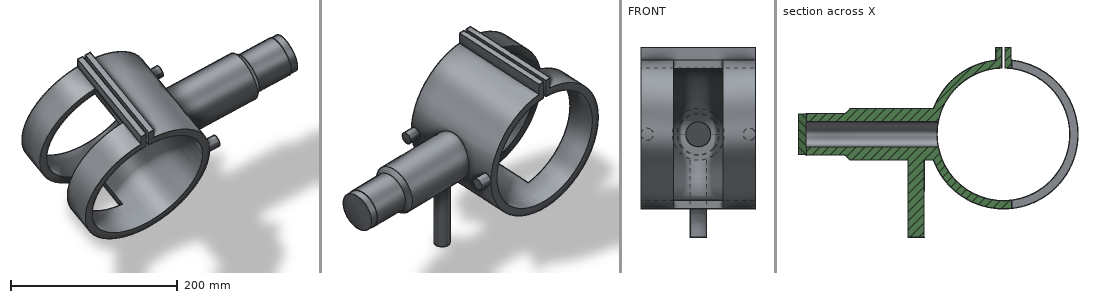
import cadquery as cq

ring_width = 138.0
ring_outer_radius = 90.0
ring_wall = 10.0
ring_inner_radius = ring_outer_radius - ring_wall

lug_top = 104.7
lug_thickness = 7.5
slit_width = 3.7
lug_outer_y = slit_width / 2 + lug_thickness

window_width = 60.0
window_back_y = -10.0

overall_length = 336.7
branch_end = overall_length - ring_outer_radius
branch_diameter = 62.3
spigot_diameter = 50.5
spigot_length = 56.2
taper_length = (branch_diameter - spigot_diameter) / 2
bore_diameter = 30.0

cap_diameter = 49.0
cap_length = 9.5
spigot_end = branch_end - cap_length
taper_end = branch_end - spigot_length
taper_start = taper_end - taper_length

rod_diameter = 20.0
rod_y = 105.0
rod_bottom = -124.0

terminal_diameter = 14.8
terminal_spacing = 123.2
terminal_end = ring_outer_radius + 15.0


def rod_along_y(diameter, start, end, x=0):
    """Solid cylinder parallel to Y between two Y positions."""
    plane = cq.Plane(origin=(x, start, 0), xDir=(1, 0, 0), normal=(0, 1, 0))
    return cq.Workplane(plane).circle(diameter / 2).extrude(end - start)


def disc_along_x(radius):
    """Solid cylinder around the ring axis, as wide as the ring."""
    return cq.Workplane("YZ", origin=(-ring_width / 2, 0, 0)).circle(radius).extrude(ring_width)


def make_branch():
    """Stepped solid pipe, starting on the ring axis."""
    profile = [
        (0, 0),
        (branch_diameter / 2, 0),
        (branch_diameter / 2, taper_start),
        (spigot_diameter / 2, taper_end),
        (spigot_diameter / 2, spigot_end),
        (0, spigot_end),
    ]
    return cq.Workplane("XY").polyline(profile).close().revolve(360, (0, 0, 0), (0, 1, 0))


def make_saddle():
    """Clamp ring with lugs, branch pipe, rod and terminals."""
    lugs = cq.Workplane("XY").box(ring_width, 2 * lug_outer_y, lug_top, centered=(True, True, False))
    rod = cq.Workplane("XY").center(0, rod_y).circle(rod_diameter / 2).extrude(rod_bottom)
    body = disc_along_x(ring_outer_radius).union(lugs).union(make_branch()).union(rod)
    for side in (-1, 1):
        terminal_x = side * terminal_spacing / 2
        body = body.union(rod_along_y(terminal_diameter, 0, terminal_end, terminal_x))

    slit = cq.Workplane("XY").box(ring_width, slit_width, lug_top, centered=(True, True, False))
    window = (
        cq.Workplane("XY")
        .box(window_width, ring_outer_radius, 2 * ring_outer_radius, centered=(True, False, True))
        .translate((0, window_back_y - ring_outer_radius, 0))
    )
    bore = rod_along_y(bore_diameter, 0, spigot_end)
    return body.cut(disc_along_x(ring_inner_radius)).cut(slit).cut(window).cut(bore)


saddle = make_saddle()
cap = rod_along_y(cap_diameter, spigot_end, branch_end)

result = cq.Compound.makeCompound([saddle.val(), cap.val()])